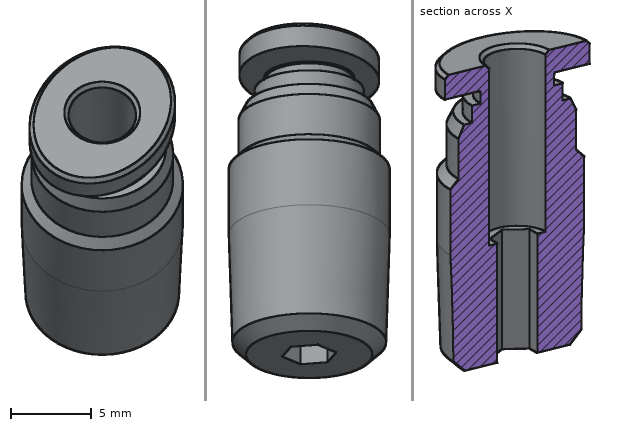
import cadquery as cq

TOTAL_HEIGHT = 20.1
END_CHAMFER_TOP = 0.82
TAPER_TOP = 8.0
SHOULDER_BOTTOM = 12.38
SHOULDER_TOP = 12.96
BODY_CHAMFER_BOTTOM = 15.65
BODY_TOP = 16.5
COLLAR_TOP = 17.65
HEAD_BOTTOM = 18.47

END_RADIUS = 3.92
LARGE_RADIUS = 5.0
TAPER_RATIO = 1 / 16
TAPER_END_RADIUS = LARGE_RADIUS - (TAPER_TOP - END_CHAMFER_TOP) * TAPER_RATIO / 2
BODY_RADIUS = 4.4
BODY_TOP_RADIUS = 3.98
COLLAR_RADIUS = 3.4
NECK_RADIUS = 2.75
NECK_FLARE_WIDTH = 0.06
NECK_FLARE_HEIGHT = 0.1

HEAD_LENGTH_X = 8.58
HEAD_LENGTH_Y = 10.8
HEAD_CHAMFER = 0.26

BORE_RADIUS = 2.1
BORE_CHAMFER = 0.26
BORE_FLOOR = TAPER_TOP
HEX_CORNER_DIAMETER = 3.42


def make_body():
    """Stepped body, collar and neck with a small flare under the head, revolved about the Z axis."""
    profile = [
        (0, 0),
        (END_RADIUS, 0),
        (TAPER_END_RADIUS, END_CHAMFER_TOP),
        (LARGE_RADIUS, TAPER_TOP),
        (LARGE_RADIUS, SHOULDER_BOTTOM),
        (BODY_RADIUS, SHOULDER_TOP),
        (BODY_RADIUS, BODY_CHAMFER_BOTTOM),
        (BODY_TOP_RADIUS, BODY_TOP),
        (COLLAR_RADIUS, BODY_TOP),
        (COLLAR_RADIUS, COLLAR_TOP),
        (NECK_RADIUS, COLLAR_TOP),
        (NECK_RADIUS, HEAD_BOTTOM - NECK_FLARE_HEIGHT),
        (NECK_RADIUS + NECK_FLARE_WIDTH, HEAD_BOTTOM),
        (0, HEAD_BOTTOM),
    ]
    return cq.Workplane("XZ").polyline(profile).close().revolve(360, (0, 0, 0), (0, 1, 0))


def make_head():
    """Elliptical disc with a chamfered top rim."""
    return (
        cq.Workplane("XY", origin=(0, 0, HEAD_BOTTOM))
        .ellipse(HEAD_LENGTH_X / 2, HEAD_LENGTH_Y / 2)
        .extrude(TOTAL_HEIGHT - HEAD_BOTTOM)
        .faces(">Z")
        .chamfer(HEAD_CHAMFER)
    )


def make_bore():
    """Round tube bore with a flared mouth, open at the top."""
    mouth_radius = BORE_RADIUS + BORE_CHAMFER
    profile = [
        (0, BORE_FLOOR),
        (BORE_RADIUS, BORE_FLOOR),
        (BORE_RADIUS, TOTAL_HEIGHT - BORE_CHAMFER),
        (mouth_radius, TOTAL_HEIGHT),
        (0, TOTAL_HEIGHT),
    ]
    return cq.Workplane("XZ").polyline(profile).close().revolve(360, (0, 0, 0), (0, 1, 0))


def make_hex_passage():
    """Hexagonal hole with two corners on the X axis, running the full height."""
    return cq.Workplane("XY").polygon(6, HEX_CORNER_DIAMETER).extrude(TOTAL_HEIGHT)


result = make_body().union(make_head()).cut(make_bore()).cut(make_hex_passage())